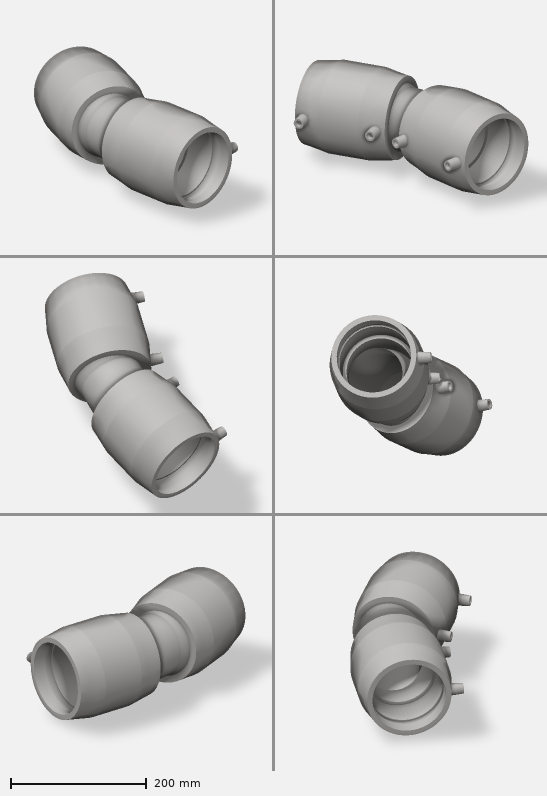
import cadquery as cq
import math


bend_angle = 24.0
half_bend = bend_angle / 2
mouth_distance = 171.67

coupling_length = 145.0
coupling_diameter = 140.0
coupling_end_diameter = 126.0
taper_length = 40.0
socket_diameter = 110.0
socket_depth = 80.0

groove_start = 21.5
groove_length = 12.0
groove_depth = 2.5

terminal_inset = 15.0
terminal_top_height = 83.1
terminal_base_height = 59.0
terminal_base_diameter = 19.0
terminal_top_diameter = 15.5
terminal_hole_diameter = 10.0
terminal_hole_depth = 10.0

spigot_bore = 99.0
spigot_end = 139.0
neck_diameter = 96.32
neck_bore = 83.36
neck_offset = 5.2
neck_length = 40.0
neck_bore_length = 137.6

mouth_x = -mouth_distance
coupling_end_x = mouth_x + coupling_length

x_direction = cq.Vector(1, 0, 0)
y_direction = cq.Vector(0, 1, 0)
half_bend_radians = math.radians(half_bend)
neck_direction = cq.Vector(math.cos(half_bend_radians), math.sin(half_bend_radians), 0)
neck_normal = cq.Vector(-neck_direction.y, neck_direction.x, 0)
neck_middle = neck_normal * neck_offset


def axis_point(distance_from_mouth):
    """Point on the first coupling's axis."""
    return cq.Vector(mouth_x + distance_from_mouth, 0, 0)


def neck_start(length):
    """First end of a length centred on the neck axis."""
    return neck_middle - neck_direction * (length / 2)


def section(center, normal, diameter):
    """Circle square to an axis, starting underneath so lofts do not twist."""
    return cq.Workplane(cq.Plane(origin=center, xDir=(0, 0, -1), normal=normal)).circle(diameter / 2)


def rod(center, normal, diameter, length):
    return section(center, normal, diameter).extrude(length)


def reducer(first, last):
    """Straight-sided loft between two circular sections."""
    return cq.Workplane(cq.Solid.makeLoft([first.wires().val(), last.wires().val()], True))


def revolved(points):
    """Solid of revolution about X from (x, radius) points."""
    return cq.Workplane("XY").polyline(points).close().revolve(360, (0, 0, 0), (1, 0, 0))


def mirrored(body):
    """Reflect a body in the bisecting plane."""
    turn_axis = ((0, 0, 0), (0, 0, 1))
    return body.rotate(*turn_axis, -half_bend).mirror("YZ").rotate(*turn_axis, half_bend)


def make_coupling():
    end_radius = coupling_end_diameter / 2
    radius = coupling_diameter / 2
    return revolved([
        (mouth_x, 0),
        (mouth_x, end_radius),
        (mouth_x + taper_length, radius),
        (coupling_end_x - taper_length, radius),
        (coupling_end_x, end_radius),
        (coupling_end_x, 0),
    ])


def make_terminal(distance_from_mouth):
    foot = axis_point(distance_from_mouth) + y_direction * terminal_base_height
    height = terminal_top_height - terminal_base_height
    post = cq.Workplane(cq.Solid.makeCone(
        terminal_base_diameter / 2, terminal_top_diameter / 2, height, foot, y_direction
    ))
    hole_bottom = foot + y_direction * (height - terminal_hole_depth)
    return post.cut(rod(hole_bottom, y_direction, terminal_hole_diameter, terminal_hole_depth))


def make_end():
    """First coupling with its terminals and the outside reducer to the neck."""
    end = make_coupling()
    for distance in (terminal_inset, coupling_length - terminal_inset):
        end = end.union(make_terminal(distance))
    spigot = section(axis_point(spigot_end), x_direction, socket_diameter)
    neck_rim = section(neck_start(neck_length), neck_direction, neck_diameter)
    return end.union(reducer(spigot, neck_rim))


def make_groove():
    start_x = mouth_x + groove_start
    end_x = start_x + groove_length
    radius = socket_diameter / 2
    return revolved([(start_x, 0), (start_x, radius), (end_x, radius + groove_depth), (end_x, 0)])


def make_lip():
    """Cone around the neck bore, reaching back inside the spigot bore to a sharp rim."""
    rim = section(neck_start(neck_bore_length), neck_direction, neck_bore)
    root = section(axis_point(spigot_end), x_direction, spigot_bore)
    return reducer(rim, root)


def make_end_bore():
    """Socket of the first coupling, its groove and the spigot bore around the lip."""
    socket = rod(axis_point(0), x_direction, socket_diameter, socket_depth)
    spigot_hole = rod(axis_point(socket_depth), x_direction, spigot_bore, spigot_end - socket_depth)
    return socket.union(make_groove()).union(spigot_hole.cut(make_lip()))


end = make_end()
end_bore = make_end_bore()
neck = rod(neck_start(neck_length), neck_direction, neck_diameter, neck_length)
through_bore = rod(neck_start(neck_bore_length), neck_direction, neck_bore, neck_bore_length)

outside = end.union(mirrored(end)).union(neck)
result = outside.cut(end_bore).cut(mirrored(end_bore)).cut(through_bore)